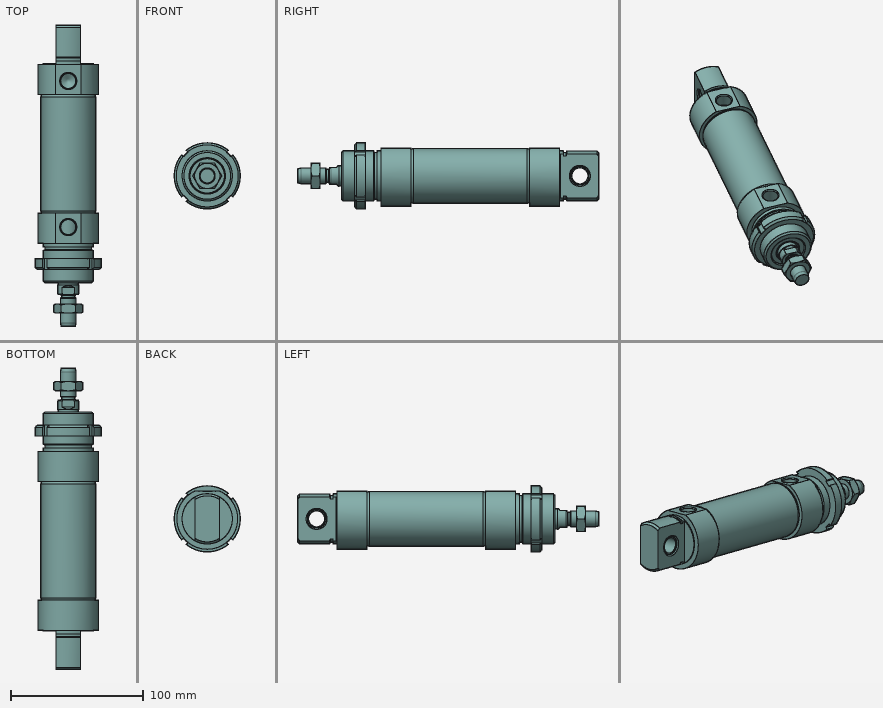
import cadquery as cq
import math


LENGTH = 227.5

NOSE_DIA = 38.0
NOSE_FRONT_Y = 33.0
NOSE_CHAMFER = 1.4
NOSE_GROOVE_Y = 57.3
LUG_GROOVE_Y = 203.4
GROOVE_WIDTH = 2.7
GROOVE_DIA = 35.5
GROOVE_BEVEL = 0.7

CAP_DIA = 46.0
CAP_LENGTH = 22.8
FRONT_CAP_Y = 62.8
REAR_CAP_Y = 175.2
REAR_STEP = 0.7
CAP_FLAT_HEIGHT = 21.0

TUBE_DIA = 41.6
TUBE_END_DIA = 40.3
TUBE_TAPER = 1.8

LUG_THICKNESS = 18.7
LUG_CHAMFER = 1.5
LUG_HOLE_DIA = 12.0
LUG_HOLE_MOUTH_DIA = 16.0
LUG_HOLE_STEP_DIA = 14.0
LUG_HOLE_STEP_DEPTH = 1.4
LUG_HOLE_Y = 213.2

PORT_DIA = 11.4
PORT_MOUTH_DIA = 13.0
FRONT_PORT_Y = 75.0
REAR_PORT_Y = 185.5
REAR_PORT_DEPTH = 10.2
DRILL_POINT_ANGLE = 118.0

RECESS_DIA = 26.0
RECESS_MOUTH_DIA = 27.5
RECESS_DEPTH = 1.0
SEAL_DIA = 17.5
SEAL_MOUTH_DIA = 18.9
SEAL_DEPTH = 1.1

ROD_DIA = 16.0
ROD_END_DIA = 15.5
ROD_BACK_DIA = 15.5
ROD_SHOULDER_Y = 24.1
ROD_STEP_Y = 31.2
ROD_END_TAPER = 1.0
ROD_BACK_Y = FRONT_CAP_Y + CAP_LENGTH
THREAD_DIA = 12.0
THREAD_END_DIA = 10.7
THREAD_TIP_CHAMFER = 2.7
THREAD_BACK_Y = 21.2
COLLAR_Y = 23.5
NECK_DIA = 10.0
WRENCH_WIDTH = 13.0
WRENCH_END_Y = 29.3

HEX_WIDTH = 19.0
HEX_FRONT_Y = 10.0
HEX_HEIGHT = 7.0
HEX_CHAMFER_ANGLE = 30.0

RING_DIA = 50.0
RING_FRONT_Y = 43.0
RING_WIDTH = 8.2
RING_CHAMFER = 1.5
RING_SLOT_COUNT = 4
RING_SLOT_WIDTH = 4.8
RING_SLOT_FLOOR_RADIUS = 23.2


def turned(profile):
    """Solid of revolution about the Y axis from (diameter, y) points."""
    outline = [(diameter / 2, y) for diameter, y in profile]
    return cq.Workplane("XY").polyline(outline).close().revolve(360, (0, 0, 0), (0, 1, 0))


def cylinder(diameter, start_y, length):
    return turned([(0, start_y), (diameter, start_y), (diameter, start_y + length), (0, start_y + length)])


def block(width, start_y, length, bottom_z, top_z):
    """Box centred on X."""
    height = top_z - bottom_z
    return cq.Workplane("XY").box(width, length, height, centered=(True, False, False)).translate(
        (0, start_y, bottom_z)
    )


def groove(rim_y, inward):
    """Ring cutter bevelled at its free-end rim; inward (+1 or -1) points along Y to the cap."""
    return turned([
        (NOSE_DIA, rim_y),
        (GROOVE_DIA, rim_y + inward * GROOVE_BEVEL),
        (GROOVE_DIA, rim_y + inward * GROOVE_WIDTH),
        (NOSE_DIA, rim_y + inward * GROOVE_WIDTH),
    ])


def nose():
    body = cylinder(NOSE_DIA, NOSE_FRONT_Y, FRONT_CAP_Y - NOSE_FRONT_Y)
    body = body.faces("<Y").chamfer(NOSE_CHAMFER)
    return body.cut(groove(NOSE_GROOVE_Y, 1))


def cap(start_y):
    """End cap with a flat on top for the air port."""
    flat_cut = block(CAP_DIA, start_y, CAP_LENGTH, CAP_FLAT_HEIGHT, CAP_DIA)
    return cylinder(CAP_DIA, start_y, CAP_LENGTH).cut(flat_cut)


def tube():
    start_y = FRONT_CAP_Y + CAP_LENGTH
    return turned([
        (0, start_y),
        (TUBE_END_DIA, start_y),
        (TUBE_DIA, start_y + TUBE_TAPER),
        (TUBE_DIA, REAR_CAP_Y - TUBE_TAPER),
        (TUBE_END_DIA, REAR_CAP_Y),
        (0, REAR_CAP_Y),
    ])


def lug():
    """Flat-sided rear eye with a cross hole along X."""
    base_y = REAR_CAP_Y + CAP_LENGTH
    body = cylinder(NOSE_DIA, base_y, LENGTH - base_y).faces(">Y").chamfer(LUG_CHAMFER)
    body = body.cut(groove(LUG_GROOVE_Y, -1))
    body = body.intersect(block(LUG_THICKNESS, base_y, LENGTH - base_y, -NOSE_DIA, NOSE_DIA))
    body = body.cut(lug_hole())
    return body.union(cylinder(NOSE_DIA, base_y, REAR_STEP))


def lug_hole():
    """Cross-hole cutter along X, with a countersink at each side of the lug."""
    half = LUG_THICKNESS / 2
    bevel = (LUG_HOLE_MOUTH_DIA - LUG_HOLE_STEP_DIA) / 2
    outline = [
        (0, 0),
        (0, LUG_HOLE_DIA / 2),
        (half - LUG_HOLE_STEP_DEPTH, LUG_HOLE_DIA / 2),
        (half - LUG_HOLE_STEP_DEPTH, LUG_HOLE_STEP_DIA / 2),
        (half - bevel, LUG_HOLE_STEP_DIA / 2),
        (half, LUG_HOLE_MOUTH_DIA / 2),
        (half, 0),
    ]
    cutter = cq.Workplane("XY").polyline(outline).close().revolve(360, (0, 0, 0), (1, 0, 0))
    cutter = cutter.union(cutter.mirror("YZ"))
    return cutter.translate((0, LUG_HOLE_Y, 0))


def port(centre_y, floor_z, point_depth):
    """Port cutter from the cap flat down to floor_z, with a conical point below."""
    mouth_depth = (PORT_MOUTH_DIA - PORT_DIA) / 2
    outline = [
        (0, floor_z - point_depth),
        (PORT_DIA / 2, floor_z),
        (PORT_DIA / 2, CAP_FLAT_HEIGHT - mouth_depth),
        (PORT_MOUTH_DIA / 2, CAP_FLAT_HEIGHT),
        (0, CAP_FLAT_HEIGHT),
    ]
    cutter = cq.Workplane("XZ").polyline(outline).close().revolve(360, (0, 0, 0), (0, 1, 0))
    return cutter.translate((0, centre_y, 0))


def rod_cavity():
    """Recess in the nose face, seal gap around the rod and the blind rod bore."""
    recess_floor_y = NOSE_FRONT_Y + RECESS_DEPTH
    mouth_depth = (RECESS_MOUTH_DIA - RECESS_DIA) / 2
    seal_bevel = (SEAL_MOUTH_DIA - SEAL_DIA) / 2
    seal_floor_y = recess_floor_y + SEAL_DEPTH
    return turned([
        (0, NOSE_FRONT_Y),
        (RECESS_MOUTH_DIA, NOSE_FRONT_Y),
        (RECESS_DIA, NOSE_FRONT_Y + mouth_depth),
        (RECESS_DIA, recess_floor_y),
        (SEAL_MOUTH_DIA, recess_floor_y),
        (SEAL_DIA, recess_floor_y + seal_bevel),
        (SEAL_DIA, seal_floor_y),
        (ROD_BACK_DIA, seal_floor_y),
        (ROD_BACK_DIA, ROD_BACK_Y),
        (0, ROD_BACK_Y),
    ])


def make_housing():
    body = tube().union(cap(FRONT_CAP_Y)).union(cap(REAR_CAP_Y)).union(nose()).union(lug())
    body = body.cut(rod_cavity())
    drill_point = PORT_DIA / 2 / math.tan(math.radians(DRILL_POINT_ANGLE / 2))
    front_port = port(FRONT_PORT_Y, drill_point, drill_point)
    rear_port = port(REAR_PORT_Y, CAP_FLAT_HEIGHT - REAR_PORT_DEPTH, drill_point)
    return body.cut(front_port).cut(rear_port)


def make_rod():
    thread_end_bevel = (THREAD_DIA - THREAD_END_DIA) / 2
    neck_y = THREAD_BACK_Y + thread_end_bevel
    body = turned([
        (0, 0),
        (THREAD_END_DIA, 0),
        (THREAD_DIA, THREAD_TIP_CHAMFER),
        (THREAD_DIA, THREAD_BACK_Y),
        (THREAD_END_DIA, neck_y),
        (NECK_DIA, neck_y),
        (NECK_DIA, COLLAR_Y),
        (THREAD_END_DIA, COLLAR_Y),
        (THREAD_END_DIA, ROD_SHOULDER_Y),
        (ROD_END_DIA, ROD_SHOULDER_Y),
        (ROD_DIA, ROD_SHOULDER_Y + ROD_END_TAPER),
        (ROD_DIA, ROD_STEP_Y),
        (ROD_BACK_DIA, ROD_STEP_Y),
        (ROD_BACK_DIA, ROD_BACK_Y),
        (0, ROD_BACK_Y),
    ])
    return cut_wrench_flats(body)


def cut_wrench_flats(body):
    """Two flats facing up and down, each with a 45 degree run-out."""
    flat_z = WRENCH_WIDTH / 2
    top_z = ROD_DIA
    outline = [
        (ROD_SHOULDER_Y, flat_z),
        (WRENCH_END_Y, flat_z),
        (WRENCH_END_Y + top_z - flat_z, top_z),
        (ROD_SHOULDER_Y, top_z),
    ]
    cutter = cq.Workplane("YZ").polyline(outline).close().extrude(ROD_DIA, both=True)
    return body.cut(cutter).cut(cutter.mirror("XY"))


def make_hex_nut():
    """Hexagon nut with its corners chamfered on both faces."""
    corner_dia = HEX_WIDTH / math.cos(math.pi / 6)
    corner_drop = (corner_dia - HEX_WIDTH) / 2 * math.tan(math.radians(HEX_CHAMFER_ANGLE))
    back_y = HEX_FRONT_Y + HEX_HEIGHT
    hexagon = (
        cq.Workplane("XZ").polygon(6, corner_dia).extrude(-HEX_HEIGHT).translate((0, HEX_FRONT_Y, 0))
    )
    chamfered_round = turned([
        (0, HEX_FRONT_Y),
        (HEX_WIDTH, HEX_FRONT_Y),
        (corner_dia, HEX_FRONT_Y + corner_drop),
        (corner_dia, back_y - corner_drop),
        (HEX_WIDTH, back_y),
        (0, back_y),
    ])
    return hexagon.intersect(chamfered_round).cut(cylinder(THREAD_DIA, HEX_FRONT_Y, HEX_HEIGHT))


def make_ring_nut():
    """Round mounting nut with spanner slots on the diagonals."""
    body = cylinder(RING_DIA, RING_FRONT_Y, RING_WIDTH).faces("<Y").chamfer(RING_CHAMFER)
    body = body.cut(cylinder(NOSE_DIA, RING_FRONT_Y, RING_WIDTH))
    slot = block(RING_SLOT_WIDTH, RING_FRONT_Y, RING_WIDTH, RING_SLOT_FLOOR_RADIUS, RING_DIA)
    pitch = 360 / RING_SLOT_COUNT
    for index in range(RING_SLOT_COUNT):
        body = body.cut(slot.rotate((0, 0, 0), (0, 1, 0), (index + 0.5) * pitch))
    return body


housing = make_housing()
rod = make_rod()
hex_nut = make_hex_nut()
ring_nut = make_ring_nut()

result = cq.Compound.makeCompound([housing.val(), rod.val(), hex_nut.val(), ring_nut.val()])